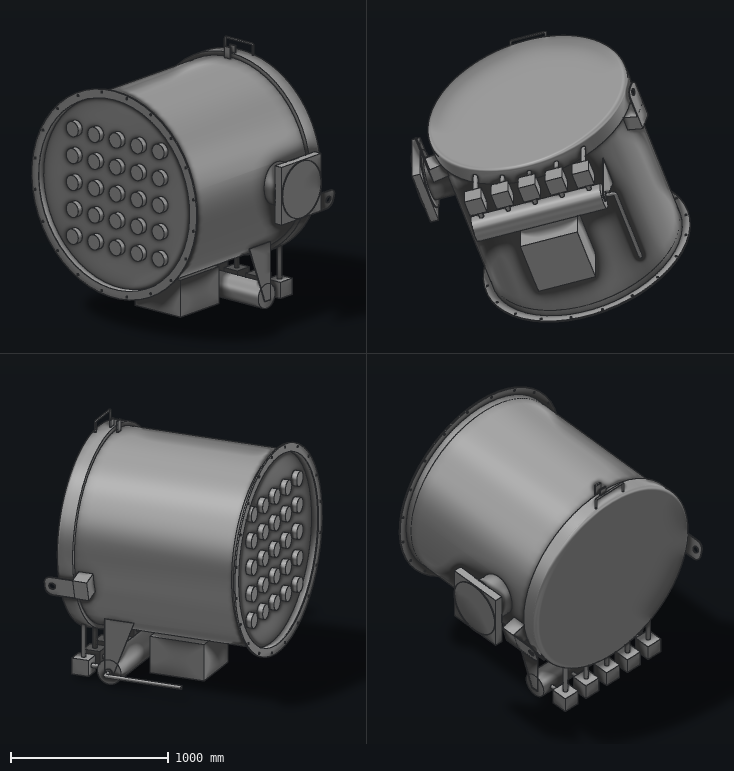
import cadquery as cq
import math


shell_radius = 640.0
shell_wall = 7.0
flange_radius = 691.0
flange_thickness = 10.0
bolt_count = 20
bolt_circle_radius = 671.0
bolt_hole_diameter = 13.0
recess_depth = 50.0

root_depth = 25.0

stub_pitch = 180.0
stub_count = 5
stub_diameter = 100.0
stub_height = 40.0

lid_start = 1138.0
lid_end = 1255.0
lid_radius = 668.0
lid_edge_radius = 30.0

handle_width = 245.0
handle_bar_diameter = 12.0
handle_top = 737.0
handle_y = 1220.0
handle_bend_radius = 12.0

tab_width = 48.0
tab_thickness = 10.0
tab_top = 716.0
lid_tab_y = 1160.0
shell_tab_y = 1110.0

lug_tilt = 15
lug_outer_distance = 742.0
lug_height = 137.0
lug_start = 1011.0
lug_block_length = 100.0
lug_tip = 1312.0
lug_plate_thickness = 7.0
lug_tip_radius = 50.0
lug_hole_diameter = 45.0
lug_hole_inset = 51.0

nozzle_y = 860.0
nozzle_radius = 140.0
nozzle_end = 838.0
nozzle_flange_side = 386.0
nozzle_flange_thickness = 68.0
raised_face_radius = 190.0
raised_face_height = 7.0

box_width = 381.0
box_length = 376.0
box_x = -5.0
box_y = 620.0
box_bottom = -888.0

tank_radius = 82.0
tank_length = 861.0
tank_y = 988.0
tank_z = -830.0

bracket_thickness = 7.0
bracket_back = 1018.0
bracket_top_front = 813.0
bracket_bottom_front = 965.0
bracket_top = -470.0
bracket_bottom = -861.0

valve_width = 112.0
valve_top = -779.0
valve_bottom = -888.0
pipe_diameter = 30.0

collar_radius = 25.0
collar_thickness = 10.0
inlet_diameter = 25.0
inlet_x = -505.0
inlet_end = 454.0
inlet_bend_radius = 16.0

column_positions = [(i - (stub_count - 1) / 2) * stub_pitch for i in range(stub_count)]
tank_end = tank_length / 2
bracket_outer = tank_end + bracket_thickness
lid_middle = (lid_start + lid_end) / 2


def box_between(x_range, y_range, z_range):
    """Box given by its limits along each axis."""
    limits = (x_range, y_range, z_range)
    sizes = [high - low for low, high in limits]
    centre = tuple((low + high) / 2 for low, high in limits)
    return cq.Workplane("XY").box(*sizes).translate(centre)


def rod(start, direction, length, diameter):
    """Round bar from a start point along a direction."""
    return cq.Workplane(cq.Solid.makeCylinder(diameter / 2, length, cq.Vector(*start), cq.Vector(*direction)))


def bent_bar(path, start, direction, diameter):
    """Round bar swept along a path that leaves the start point in the given direction."""
    profile_plane = cq.Plane(origin=start, normal=direction)
    return cq.Workplane(profile_plane).circle(diameter / 2).sweep(path)


def disc(radius, start, end):
    """Solid disc on the vessel axis between two Y places."""
    return rod((0, start, 0), (0, 1, 0), end - start, 2 * radius)


def latch_tab(middle_y, root):
    """Small upright plate on top of the vessel."""
    return box_between(
        (-tab_width / 2, tab_width / 2),
        (middle_y - tab_thickness / 2, middle_y + tab_thickness / 2),
        (root, tab_top),
    )


def shell():
    """Vessel drum with the bolting flange, recessed end plate and filter stubs."""
    body = disc(shell_radius, 0, lid_start).union(disc(flange_radius, 0, flange_thickness))
    body = body.cut(disc(shell_radius - shell_wall, 0, recess_depth))
    bolt_holes = (
        cq.Workplane("XZ")
        .polarArray(bolt_circle_radius, 180 / bolt_count, 360, bolt_count)
        .circle(bolt_hole_diameter / 2)
        .extrude(-flange_thickness)
    )
    stubs = (
        cq.Workplane("XZ", origin=(0, recess_depth, 0))
        .rarray(stub_pitch, stub_pitch, stub_count, stub_count)
        .circle(stub_diameter / 2)
        .extrude(stub_height)
    )
    return body.cut(bolt_holes).union(stubs)


def lifting_lug():
    """Block and drilled arm on the +X side, tilted down about the vessel axis."""
    half_height = lug_height / 2
    block = box_between(
        (shell_radius - root_depth, lug_outer_distance),
        (lug_start, lug_start + lug_block_length),
        (-half_height, half_height),
    )
    arm = box_between(
        (lug_outer_distance - lug_plate_thickness, lug_outer_distance),
        (lug_start, lug_tip),
        (-half_height, half_height),
    )
    arm = arm.edges("|X and >Y").fillet(lug_tip_radius)
    hole = rod((shell_radius, lug_tip - lug_hole_inset, 0), (1, 0, 0), lug_outer_distance, lug_hole_diameter)
    return block.union(arm.cut(hole)).rotate((0, 0, 0), (0, 1, 0), lug_tilt)


def nozzle():
    """Round side nozzle and its flange, on the +X side."""
    flange_start = nozzle_end - nozzle_flange_thickness
    pipe = rod((0, nozzle_y, 0), (1, 0, 0), flange_start, 2 * nozzle_radius)
    raised_faces = rod(
        (flange_start, nozzle_y, 0), (1, 0, 0), nozzle_flange_thickness, 2 * raised_face_radius
    )
    half_side = nozzle_flange_side / 2
    flange = box_between(
        (flange_start + raised_face_height, nozzle_end - raised_face_height),
        (nozzle_y - half_side, nozzle_y + half_side),
        (-half_side, half_side),
    )
    return pipe.union(raised_faces).union(flange)


def tank_bracket():
    """Tapered plate from the shell down to the tank's +X end."""
    return (
        cq.Workplane("YZ", origin=(tank_end, 0, 0))
        .moveTo(bracket_back, bracket_bottom)
        .lineTo(bracket_back, bracket_top)
        .lineTo(bracket_top_front, bracket_top)
        .lineTo(bracket_bottom_front, bracket_bottom)
        .close()
        .extrude(bracket_thickness)
    )


def lid_handle():
    """Bent bar handle on top of the lid."""
    half_span = (handle_width - handle_bar_diameter) / 2
    bar_height = handle_top - handle_bar_diameter / 2
    foot = lid_radius - root_depth
    arc_offset = handle_bend_radius * (1 - math.sqrt(0.5))
    path = (
        cq.Workplane("XZ", origin=(0, handle_y, 0))
        .moveTo(-half_span, foot)
        .lineTo(-half_span, bar_height - handle_bend_radius)
        .threePointArc(
            (-half_span + arc_offset, bar_height - arc_offset),
            (-half_span + handle_bend_radius, bar_height),
        )
        .lineTo(half_span - handle_bend_radius, bar_height)
        .threePointArc(
            (half_span - arc_offset, bar_height - arc_offset),
            (half_span, bar_height - handle_bend_radius),
        )
        .lineTo(half_span, foot)
    )
    return bent_bar(path, (-half_span, handle_y, foot), (0, 0, 1), handle_bar_diameter)


def make_lid():
    """Round lid with a rolled outer edge, a handle and a latch tab."""
    cover = disc(lid_radius, lid_start, lid_end).faces(">Y").edges().fillet(lid_edge_radius)
    return cover.union(lid_handle()).union(latch_tab(lid_tab_y, lid_radius - root_depth))


def valve(x):
    """Valve block with a pipe to the tank and a riser that meets the lid rim."""
    half_width = valve_width / 2
    block = box_between(
        (x - half_width, x + half_width),
        (lid_start, lid_end),
        (valve_bottom, valve_top),
    )
    riser = rod((x, lid_middle, valve_top), (0, 0, 1), -valve_top, pipe_diameter)
    riser = riser.cut(disc(lid_radius, lid_start, lid_end))
    feed = rod((x, tank_y, tank_z), (0, 1, 0), lid_start - tank_y, pipe_diameter)
    return block.union(riser).union(feed)


def air_inlet():
    """Collar and bent inlet pipe on the tank's -X end."""
    collar = rod((-bracket_outer, tank_y, tank_z), (-1, 0, 0), collar_thickness, 2 * collar_radius)
    arc_offset = inlet_bend_radius * (1 - math.sqrt(0.5))
    path = (
        cq.Workplane("XY", origin=(0, 0, tank_z))
        .moveTo(-tank_end, tank_y)
        .lineTo(inlet_x + inlet_bend_radius, tank_y)
        .threePointArc(
            (inlet_x + arc_offset, tank_y - arc_offset),
            (inlet_x, tank_y - inlet_bend_radius),
        )
        .lineTo(inlet_x, inlet_end)
    )
    pipe = bent_bar(path, (-tank_end, tank_y, tank_z), (-1, 0, 0), inlet_diameter)
    return collar.union(pipe)


def air_tank():
    """Tank with its valves and inlet pipe."""
    body = rod((-tank_end, tank_y, tank_z), (1, 0, 0), tank_length, 2 * tank_radius)
    for x in column_positions:
        body = body.union(valve(x))
    return body.union(air_inlet())


def make_vessel():
    """Vessel with everything that is fixed to its shell."""
    body = shell().union(nozzle())
    body = body.union(latch_tab(shell_tab_y, shell_radius - root_depth))
    for side_part in (lifting_lug(), tank_bracket()):
        body = body.union(side_part).union(side_part.mirror("YZ"))
    return body.union(air_tank())


def make_box():
    """Plain box whose top touches the lowest line of the shell."""
    return box_between(
        (box_x - box_width / 2, box_x + box_width / 2),
        (box_y - box_length / 2, box_y + box_length / 2),
        (box_bottom, -shell_radius),
    )


vessel = make_vessel()
lid = make_lid()
box = make_box()

result = cq.Compound.makeCompound([vessel.val(), lid.val(), box.val()])